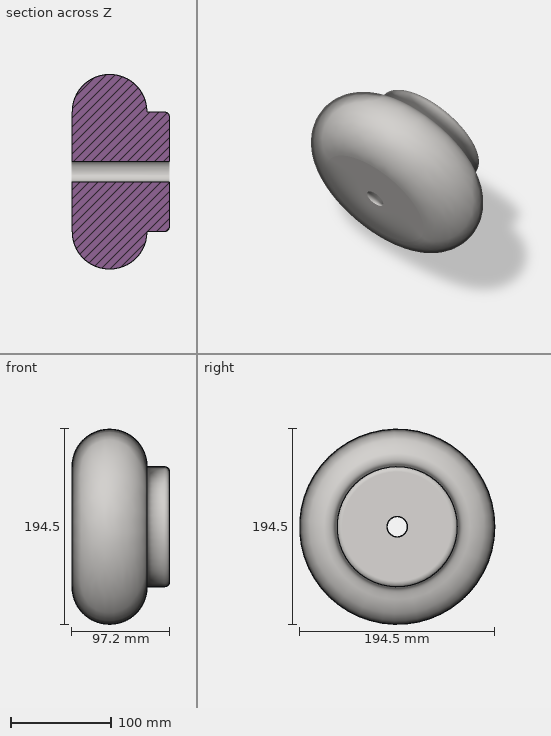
import cadquery as cq

outer_diameter = 194.5
total_length = 97.2
rim_width = 74.9
bore_diameter = 20.0
hub_edge_radius = 5.0

rim_round_radius = rim_width / 2
outer_radius = outer_diameter / 2
hub_radius = outer_radius - rim_round_radius


def make_rim():
    """Disc with a semicircular outer edge, revolved about X."""
    return (
        cq.Workplane("XY")
        .lineTo(0, hub_radius)
        .threePointArc((rim_round_radius, outer_radius), (rim_width, hub_radius))
        .lineTo(rim_width, 0)
        .close()
        .revolve(360, (0, 0, 0), (1, 0, 0))
    )


def make_hub():
    """Cylinder through the rim that projects on +X with a rounded end edge."""
    return (
        cq.Workplane("YZ")
        .circle(hub_radius)
        .extrude(total_length)
        .edges(">X")
        .fillet(hub_edge_radius)
    )


def make_bore():
    """Straight through hole on the wheel axis."""
    return cq.Workplane("YZ").circle(bore_diameter / 2).extrude(total_length)


result = make_rim().union(make_hub()).cut(make_bore())